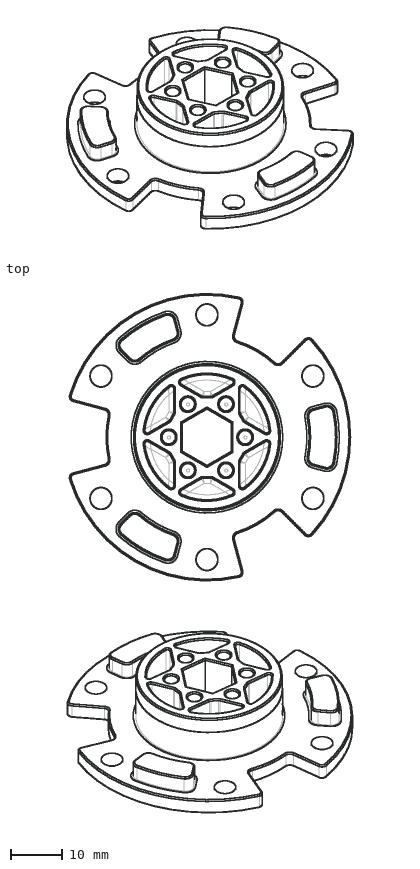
import cadquery as cq
import math

plate_radius = 27.9
plate_thickness = 3.2
notch_count = 3
notch_first_angle = 60.0
notch_half_angle = 15.0
notch_inner_radius = 19.6
notch_corner_radius = 1.0

bolt_count = 6
bolt_first_angle = 30.0
bolt_circle_radius = 23.75
bolt_hole_diameter = 4.2

pad_count = 3
pad_first_angle = 0.0
pad_half_angle = 15.0
pad_inner_radius = 19.85
pad_outer_radius = 25.25
pad_height = plate_thickness
pad_corner_radius = 1.5

shoulder_radius = 14.3
seat_radius = 14.2
seat_height = plate_thickness
total_height = 4 * plate_thickness
shoulder_height = total_height - plate_thickness - seat_height

hexagon_sides = 6
hexagon_flats = 9.55
hexagon_corners = hexagon_flats / math.cos(math.pi / hexagon_sides)

blind_depth = total_height - plate_thickness
blind_count = 6
floor_fillet = 1.0

hub_hole_first_angle = 0.0
hub_hole_circle_radius = 7.4
hub_hole_diameter = 2.6

pocket_first_angle = 30.0
pocket_side_lean = 60.0
pocket_side_offset = 6.4
pocket_tip_radius = 7.9
pocket_outer_radius = 12.15
pocket_corner_radius = 0.5

edge_break = 0.3
groove_radius = 0.2


def polar(radius, degrees):
    """Point at the given radius and angle about the part axis."""
    angle = math.radians(degrees)
    return (radius * math.cos(angle), radius * math.sin(angle))


def ring_of(body, count, first_angle):
    """Union of copies of a body spaced evenly about the part axis."""
    copies = cq.Workplane("XY")
    for index in range(count):
        angle = first_angle + index * 360.0 / count
        copies = copies.add(body.rotate((0, 0, 0), (0, 0, 1), angle))
    return copies.combine()


def ring_sector(inner_radius, outer_radius, half_angle, base_height, height):
    """Solid ring sector centred on the +X axis."""
    return (
        cq.Workplane("XY", origin=(0, 0, base_height))
        .moveTo(*polar(inner_radius, -half_angle))
        .lineTo(*polar(outer_radius, -half_angle))
        .threePointArc((outer_radius, 0), polar(outer_radius, half_angle))
        .lineTo(*polar(inner_radius, half_angle))
        .threePointArc((inner_radius, 0), polar(inner_radius, -half_angle))
        .close()
        .extrude(height)
    )


def make_plate():
    """Disc with rounded radial notches, broken outer edges and bolt holes."""
    disc = cq.Workplane("XY").circle(plate_radius).extrude(plate_thickness)
    disc = disc.rotate((0, 0, 0), (0, 0, 1), notch_first_angle)
    past_rim = 2 * plate_radius
    notch = ring_sector(notch_inner_radius, past_rim, notch_half_angle, 0, plate_thickness)
    plate = disc.cut(ring_of(notch, notch_count, notch_first_angle))

    plate = plate.edges("|Z").fillet(notch_corner_radius)
    plate = plate.faces("<Z or >Z").edges().chamfer(edge_break)

    bolt_hole = (
        cq.Workplane("XY")
        .center(bolt_circle_radius, 0)
        .circle(bolt_hole_diameter / 2)
        .extrude(plate_thickness)
    )
    return plate.cut(ring_of(bolt_hole, bolt_count, bolt_first_angle))


def make_pad():
    """One raised pad with rounded corners, before its top edge is broken."""
    pad = ring_sector(pad_inner_radius, pad_outer_radius, pad_half_angle, plate_thickness, pad_height)
    return pad.edges("|Z").fillet(pad_corner_radius)


def make_pads():
    pad = make_pad().faces(">Z").edges().chamfer(edge_break)
    return ring_of(pad, pad_count, pad_first_angle)


def make_grooves():
    """Round-bottomed grooves in the plate, hugging the hub and each pad."""
    hub_groove = cq.Solid.makeTorus(
        shoulder_radius + groove_radius, groove_radius, cq.Vector(0, 0, plate_thickness)
    )
    path = make_pad().faces("<Z").wires().toPending().offset2D(groove_radius)
    pad_groove = (
        cq.Workplane("XZ", origin=(pad_outer_radius + groove_radius, 0, plate_thickness))
        .circle(groove_radius)
        .sweep(path, transition="round")
    )
    return ring_of(pad_groove, pad_count, pad_first_angle).add(hub_groove).combine()


def make_pocket():
    """Cutter for one hub pocket along +X: leaning sides, blunt tip inwards, arc outwards."""
    lean = math.radians(pocket_side_lean)
    apex_radius = pocket_side_offset / math.sin(lean)
    tip_half_width = (pocket_tip_radius - apex_radius) * math.tan(lean)
    corner_angle = pocket_side_lean - math.degrees(math.asin(pocket_side_offset / pocket_outer_radius))
    pocket = (
        cq.Workplane("XY", origin=(0, 0, plate_thickness))
        .moveTo(pocket_tip_radius, -tip_half_width)
        .lineTo(*polar(pocket_outer_radius, -corner_angle))
        .threePointArc((pocket_outer_radius, 0), polar(pocket_outer_radius, corner_angle))
        .lineTo(pocket_tip_radius, tip_half_width)
        .close()
        .extrude(blind_depth)
    )
    pocket = pocket.edges("|Z").fillet(pocket_corner_radius)
    return pocket.faces("<Z").edges().fillet(floor_fillet)


def make_hub_hole():
    """Cutter for one blind hub hole with a rounded floor."""
    hole = (
        cq.Workplane("XY", origin=(hub_hole_circle_radius, 0, plate_thickness))
        .circle(hub_hole_diameter / 2)
        .extrude(blind_depth)
    )
    return hole.faces("<Z").edges().fillet(floor_fillet)


def make_hexagon():
    """Cutter for the hexagon through the full height."""
    hexagon = cq.Workplane("XY").polygon(hexagon_sides, hexagon_corners).extrude(total_height)
    return hexagon.rotate((0, 0, 0), (0, 0, 1), 180.0 / hexagon_sides)


def make_hub():
    """Stepped hub with its openings, every edge of its top face broken."""
    hub = cq.Workplane("XY", origin=(0, 0, plate_thickness)).circle(shoulder_radius).extrude(shoulder_height)
    hub = hub.faces(">Z").workplane().circle(seat_radius).extrude(seat_height)
    hub = hub.cut(ring_of(make_pocket(), blind_count, pocket_first_angle))
    hub = hub.cut(ring_of(make_hub_hole(), blind_count, hub_hole_first_angle))
    hub = hub.cut(make_hexagon())
    return hub.faces(">Z").edges().chamfer(edge_break)


plate = make_plate().cut(make_grooves()).cut(make_hexagon())
result = plate.union(make_hub()).union(make_pads())